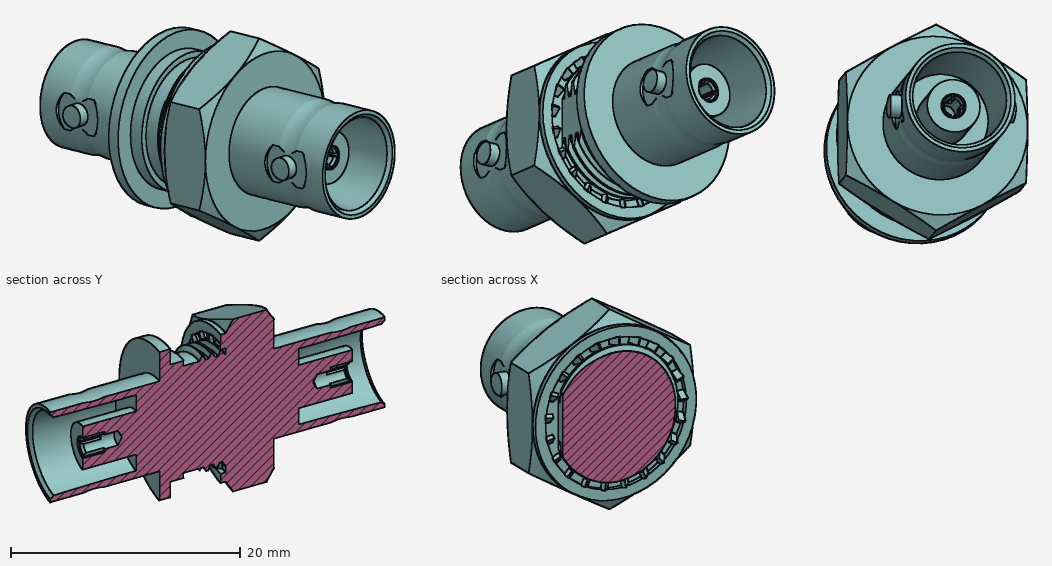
import cadquery as cq
import math


length = 32.5
barrel_radius = 4.85
mouth_radius = 4.5
mouth_chamfer = 0.33
bore_radius = 4.03
bore_depth = 8.32
insulator_radius = 2.35
insulator_recess = 3.15

contact_radius = 1.07
contact_recess = 0.15
contact_mouth_radius = 0.95
contact_bore_radius = 0.75
contact_bore_depth = 3.25
contact_tip_depth = 0.4
contact_mouth_depth = 0.25
contact_slot_depth = 1.95
contact_slot_width = 0.33
contact_slot_count = 4

stud_x = 4.25
stud_radius = 1.0
stud_reach = 5.55
groove_depth = 0.13
flat_height = 4.55
flat_radius = 2.37

flange_x = 10.6
flange_thickness = 1.07
flange_radius = 7.95
collar_length = 1.3
collar_radius = 6.3
thread_root_radius = 5.75
thread_crest_radius = 6.25
thread_pitch = 0.9
thread_base_width = 0.7
thread_crest_width = 0.2
thread_start_x = 14.35
thread_lead_in = 0.52
thread_root_overlap = 0.1
key_flat_height = 5.45

nut_x = 17.05
nut_end_x = 21.75
nut_sides = 6
nut_across_flats = 16.0
nut_chamfer_angle = 30.0
washer_thickness = 0.5
washer_outer_radius = 7.95
washer_inner_radius = 6.95
tooth_root_overlap = 0.05
tooth_count = 21
tooth_tip_radius = 6.3
tooth_width = 0.9
tooth_thickness = 0.4
tooth_twist = -45.0

flange_end_x = flange_x + flange_thickness
collar_end_x = flange_end_x + collar_length
washer_x = nut_x - washer_thickness
thread_end_x = nut_x + thread_pitch


def rod(start_x, end_x, radius):
    """Solid cylinder on the X axis."""
    return cq.Workplane("YZ", origin=(start_x, 0, 0)).circle(radius).extrude(end_x - start_x)


def tube(start_x, end_x, outer_radius, inner_radius):
    """Ring-shaped cylinder on the X axis."""
    return rod(start_x, end_x, outer_radius).cut(rod(start_x, end_x, inner_radius))


def lathe(points):
    """Revolve an outline of (x, radius) points about the X axis."""
    return cq.Workplane("XY").polyline(points).close().revolve(360, (0, 0, 0), (1, 0, 0))


def jack_bore():
    """Chamfered, slightly tapered socket that leaves the insulator standing inside."""
    return lathe([
        (0, 0),
        (0, mouth_radius),
        (mouth_chamfer, mouth_radius - mouth_chamfer),
        (bore_depth, bore_radius),
        (bore_depth, insulator_radius),
        (insulator_recess, insulator_radius),
        (insulator_recess, 0),
    ])


def contact_cut():
    """Recess, countersunk blind pin hole and cross slots of the spring contact."""
    contact_x = insulator_recess + contact_recess
    bore_end_x = contact_x + contact_bore_depth
    cut = lathe([
        (insulator_recess, 0),
        (insulator_recess, contact_radius),
        (contact_x, contact_radius),
        (contact_x, contact_mouth_radius),
        (contact_x + contact_mouth_depth, contact_bore_radius),
        (bore_end_x, contact_bore_radius),
        (bore_end_x + contact_tip_depth, 0),
    ])
    for index in range(contact_slot_count):
        slot = cq.Workplane("XY").box(
            contact_slot_depth, contact_radius, contact_slot_width, centered=(False, False, True)
        )
        slot = slot.translate((contact_x, 0, 0))
        cut = cut.union(slot.rotate((0, 0, 0), (1, 0, 0), index * 360 / contact_slot_count))
    return cut


def stud_groove():
    """Shallow groove of circular section around the barrel, as wide as the studs."""
    return (
        cq.Workplane("XY")
        .moveTo(stud_x - stud_radius, barrel_radius)
        .threePointArc(
            (stud_x, barrel_radius - groove_depth),
            (stud_x + stud_radius, barrel_radius),
        )
        .close()
        .revolve(360, (0, 0, 0), (1, 0, 0))
    )


def stud_flat():
    """Round spot-face cut into the -Y side of the barrel, centred on the stud."""
    face = cq.Workplane("XZ", origin=(stud_x, -flat_height, 0)).circle(flat_radius)
    return face.extrude(barrel_radius - flat_height)


def studs():
    """Pair of bayonet studs whose ends are rounded about the X axis."""
    pin = cq.Workplane("XZ", origin=(stud_x, 0, 0)).circle(stud_radius)
    pins = pin.extrude(barrel_radius + stud_reach, both=True)
    ends = tube(stud_x - stud_radius, stud_x + stud_radius, stud_reach, mouth_radius)
    return pins.intersect(ends)


def jack():
    """Left half of the barrel, open at x = 0."""
    half = rod(0, length / 2, barrel_radius)
    half = half.cut(stud_groove())
    half = half.cut(stud_flat()).cut(stud_flat().mirror("XZ"))
    half = half.union(studs())
    return half.cut(jack_bore()).cut(contact_cut())


def thread_ridge():
    """Right-hand helical ridge that fades in at its start and ends inside the nut."""
    path_start_x = thread_start_x - thread_pitch / 2
    base_radius = thread_root_radius - thread_root_overlap
    axis = cq.Vector(1, 0, 0)
    helix = cq.Wire.makeHelix(
        thread_pitch,
        thread_end_x - path_start_x,
        base_radius,
        cq.Vector(path_start_x, 0, 0),
        axis,
    )
    start = helix.startPoint()
    radial = cq.Vector(0, start.y, start.z).normalized()
    section = cq.Plane(origin=start, xDir=axis, normal=axis.cross(radial))
    depth = thread_crest_radius - base_radius
    ridge = (
        cq.Workplane(section)
        .polyline([
            (-thread_base_width / 2, 0),
            (-thread_crest_width / 2, depth),
            (thread_crest_width / 2, depth),
            (thread_base_width / 2, 0),
        ])
        .close()
        .sweep(cq.Workplane(helix), isFrenet=True)
    )
    envelope = lathe([
        (thread_start_x, 0),
        (thread_start_x, thread_root_radius),
        (thread_start_x + thread_lead_in, thread_crest_radius + thread_root_overlap),
        (thread_end_x, thread_crest_radius + thread_root_overlap),
        (thread_end_x, 0),
    ])
    return ridge.intersect(envelope)


def threaded_body():
    """Collar and threaded neck, flattened on the +Y side to key into a panel."""
    body = rod(flange_end_x, collar_end_x, collar_radius)
    body = body.union(rod(collar_end_x, thread_end_x, thread_root_radius))
    body = body.union(thread_ridge())
    key_flat = cq.Workplane("XY").box(
        thread_end_x - flange_end_x,
        collar_radius,
        2 * collar_radius,
        centered=(False, False, True),
    )
    return body.cut(key_flat.translate((flange_end_x, key_flat_height, 0)))


def nut():
    """Hexagon with corners toward +Z and -Z, chamfered at both ends."""
    across_corners = nut_across_flats / math.cos(math.pi / nut_sides)
    hexagon = cq.Workplane("YZ", origin=(nut_x, 0, 0)).polygon(nut_sides, across_corners)
    blank = hexagon.extrude(nut_end_x - nut_x).rotate((0, 0, 0), (1, 0, 0), 180 / nut_sides)
    end_radius = nut_across_flats / 2
    corner_radius = across_corners / 2
    chamfer_length = (corner_radius - end_radius) * math.tan(math.radians(nut_chamfer_angle))
    envelope = lathe([
        (nut_x, 0),
        (nut_x, end_radius),
        (nut_x + chamfer_length, corner_radius),
        (nut_end_x - chamfer_length, corner_radius),
        (nut_end_x, end_radius),
        (nut_end_x, 0),
    ])
    return blank.intersect(envelope)


def lock_washer():
    """Flat ring with twisted teeth pointing inward."""
    ring = tube(washer_x, nut_x, washer_outer_radius, washer_inner_radius)
    tooth_root_radius = washer_inner_radius + tooth_root_overlap
    tooth = cq.Workplane("XY").box(
        tooth_thickness,
        tooth_width,
        tooth_root_radius - tooth_tip_radius,
        centered=(True, True, False),
    )
    tooth = tooth.rotate((0, 0, 0), (0, 0, 1), tooth_twist)
    tooth = tooth.translate(((washer_x + nut_x) / 2, 0, tooth_tip_radius))
    for index in range(tooth_count):
        ring = ring.union(tooth.rotate((0, 0, 0), (1, 0, 0), index * 360 / tooth_count))
    return ring


left_jack = jack()
right_jack = left_jack.mirror("YZ", (length / 2, 0, 0))
result = left_jack.union(right_jack)
result = result.union(rod(flange_x, flange_end_x, flange_radius))
result = result.union(threaded_body())
result = result.union(nut())
result = result.union(lock_washer())